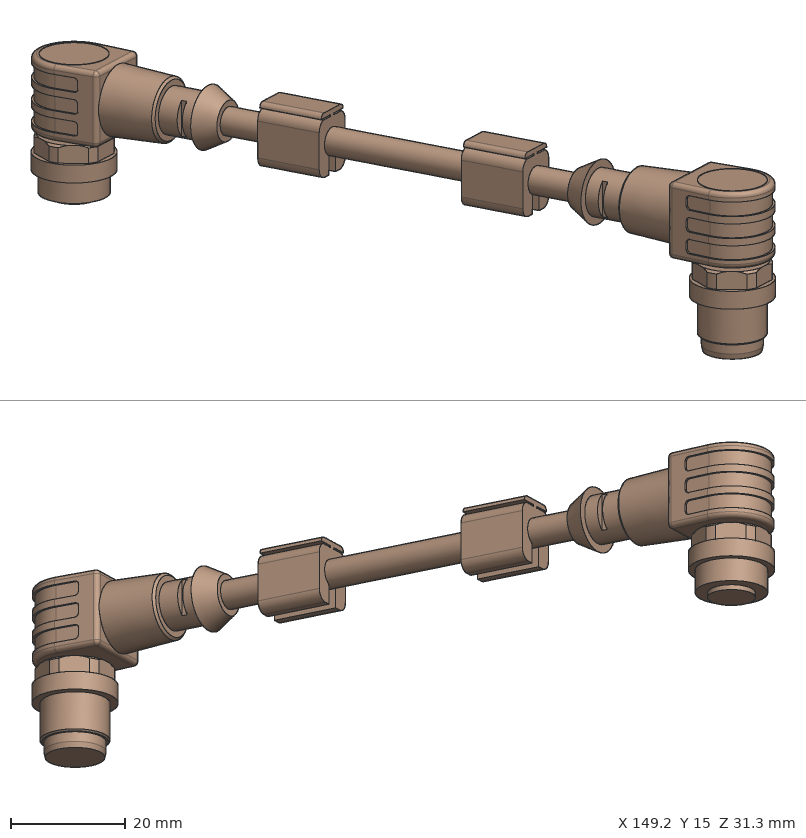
import cadquery as cq
import math

TOTAL_LENGTH = 149.2
CABLE_DIAMETER = 5.2

NUT_RING_DIAMETER = 15.0
HEX_ACROSS_FLATS = 13.0
HEX_CORNER_DIAMETER = 14.0
HEX_CORNER_CHAMFER = 0.5
STEM_DIAMETER = 8.8
HEX_TOP_Z = -7.8
RING_TOP_Z = -11.0
RING_BOTTOM_Z = -14.3

FEMALE_BODY_DIAMETER = 12.7
FEMALE_BODY_BOTTOM_Z = -18.5
FEMALE_INSERT_DIAMETER = 8.4
FEMALE_INSERT_BOTTOM_Z = -19.4

MALE_BODY_DIAMETER = 12.2
MALE_BODY_BOTTOM_Z = -21.5
MALE_BODY_CHAMFER = 0.3
MALE_TIP_DIAMETER = 10.9
MALE_TIP_END_DIAMETER = 10.5
MALE_TIP_TAPER_Z = -23.3
MALE_TIP_BOTTOM_Z = -24.3

HEAD_HEIGHT = 14.0
HEAD_RADIUS = 7.5
HEAD_BACK_HALF_WIDTH = 7.0
HEAD_BACK_X = 9.0
HEAD_EDGE_RADIUS = 0.9
LABEL_DIAMETER = 12.2
LABEL_DEPTH = 0.07
GROOVE_COUNT = 3
GROOVE_PITCH = 4.0
GROOVE_HEIGHT = 2.7
GROOVE_DEPTH = 0.5
GROOVE_END_X = 5.0
GROOVE_END_RADIUS = 0.7

SLEEVE_START_DIAMETER = 13.1
SLEEVE_END_DIAMETER = 12.0
SLEEVE_END_X = 19.8
SLEEVE_EDGE_CHAMFER = 0.5
NECK_DIAMETER = 8.8
NECK_END_X = 27.3
FLANGE_DIAMETER = 11.8
FLANGE_END_DIAMETER = 7.5
FLANGE_END_X = 31.3
NOTCH_X = 24.2
NOTCH_WIDTH = 1.0
NOTCH_DEPTH = 1.5

CLIP_CENTER_X = 20.7
CLIP_LENGTH = 12.5
CLIP_HALF_WIDTH = 4.4
CLIP_HALF_HEIGHT = 6.0
CLIP_LID_FLAT_HALF_WIDTH = 2.76
CLIP_LID_EDGE_RADIUS = 0.97
CLIP_LID_GAP = 0.3
CLIP_LID_WEB_HALF_WIDTH = 0.6
CLIP_SHOULDER_RADIUS = 2.1
CLIP_SHOULDER_Z = 2.76
CLIP_BOTTOM_RADIUS = 2.0
CLIP_SLOT_WIDTH = 2.2

PLUG_AXIS_X = (TOTAL_LENGTH - NUT_RING_DIAMETER) / 2


def cylinder_z(diameter, top_z, bottom_z):
    return cq.Workplane("XY").workplane(offset=bottom_z).circle(diameter / 2).extrude(top_z - bottom_z)


def cone_x(start_diameter, end_diameter, start_x, end_x):
    profile = [(start_x, 0), (start_x, start_diameter / 2), (end_x, end_diameter / 2), (end_x, 0)]
    return cq.Workplane("XY").polyline(profile).close().revolve(360, (0, 0, 0), (1, 0, 0))


def head_outline(inset=0.0):
    """Plan outline: an arc around the plug axis whose tangents run to the narrower back edge."""
    radius = HEAD_RADIUS - inset
    back_half_width = HEAD_BACK_HALF_WIDTH - inset
    back_distance = math.hypot(HEAD_BACK_X, back_half_width)
    tangent_angle = math.atan2(back_half_width, HEAD_BACK_X) + math.acos(radius / back_distance)
    tangent_x = radius * math.cos(tangent_angle)
    tangent_y = radius * math.sin(tangent_angle)
    return (
        cq.Workplane("XY")
        .workplane(offset=-HEAD_HEIGHT / 2)
        .moveTo(HEAD_BACK_X, -back_half_width)
        .lineTo(HEAD_BACK_X, back_half_width)
        .lineTo(tangent_x, tangent_y)
        .threePointArc((-radius, 0), (tangent_x, -tangent_y))
        .close()
    )


def grip_grooves():
    """Shallow bands around the round end, with rounded ends on both flat sides."""
    core = head_outline(GROOVE_DEPTH).extrude(HEAD_HEIGHT)
    shell = head_outline().extrude(HEAD_HEIGHT).cut(core)
    band_length = 4 * HEAD_RADIUS
    bands = (
        cq.Workplane("XZ")
        .center(GROOVE_END_X - band_length / 2, 0)
        .rarray(1.5, GROOVE_PITCH, 1, GROOVE_COUNT)
        .rect(band_length, GROOVE_HEIGHT)
        .extrude(2 * HEAD_RADIUS, both=True)
        .edges("|Y and >X")
        .fillet(GROOVE_END_RADIUS)
    )
    return shell.intersect(bands)


def head():
    body = head_outline().extrude(HEAD_HEIGHT)
    body = body.edges("|Z and >X").fillet(HEAD_EDGE_RADIUS)
    body = body.faces("<Z or >Z").edges().fillet(HEAD_EDGE_RADIUS)
    label = cylinder_z(LABEL_DIAMETER, HEAD_HEIGHT / 2, HEAD_HEIGHT / 2 - LABEL_DEPTH)
    return body.cut(grip_grooves()).cut(label)


def strain_relief():
    sleeve = cone_x(SLEEVE_START_DIAMETER, SLEEVE_END_DIAMETER, HEAD_BACK_X - HEAD_EDGE_RADIUS, SLEEVE_END_X)
    sleeve = sleeve.faces(">X").edges().chamfer(SLEEVE_EDGE_CHAMFER)
    neck = cone_x(NECK_DIAMETER, NECK_DIAMETER, 0, NECK_END_X)
    notch_offset = NECK_DIAMETER - NOTCH_DEPTH
    notches = (
        cq.Workplane("XY")
        .pushPoints([(NOTCH_X, notch_offset), (NOTCH_X, -notch_offset)])
        .rect(NOTCH_WIDTH, NECK_DIAMETER)
        .extrude(NECK_DIAMETER, both=True)
    )
    flange = cone_x(FLANGE_DIAMETER, FLANGE_END_DIAMETER, NECK_END_X, FLANGE_END_X)
    return neck.cut(notches).union(sleeve).union(flange)


def coupling_nut():
    hex_diameter = HEX_ACROSS_FLATS / math.cos(math.pi / 6)
    hex_height = HEX_TOP_Z - RING_TOP_Z
    corners = cylinder_z(HEX_CORNER_DIAMETER, HEX_TOP_Z, RING_TOP_Z)
    corners = corners.faces(">Z").edges().chamfer(HEX_CORNER_CHAMFER)
    hexagon = (
        cq.Workplane("XY")
        .workplane(offset=RING_TOP_Z)
        .transformed(rotate=(0, 0, 30))
        .polygon(6, hex_diameter)
        .extrude(hex_height)
        .intersect(corners)
    )
    stem = cylinder_z(STEM_DIAMETER, 0, RING_TOP_Z)
    ring = cylinder_z(NUT_RING_DIAMETER, RING_TOP_Z, RING_BOTTOM_Z)
    return stem.union(hexagon).union(ring)


def female_plug():
    body = cylinder_z(FEMALE_BODY_DIAMETER, RING_BOTTOM_Z, FEMALE_BODY_BOTTOM_Z)
    insert = cylinder_z(FEMALE_INSERT_DIAMETER, FEMALE_BODY_BOTTOM_Z, FEMALE_INSERT_BOTTOM_Z)
    return body.union(insert)


def male_plug():
    body = cylinder_z(MALE_BODY_DIAMETER, RING_BOTTOM_Z, MALE_BODY_BOTTOM_Z)
    body = body.faces("<Z").edges().chamfer(MALE_BODY_CHAMFER)
    tip_profile = [
        (0, MALE_BODY_BOTTOM_Z),
        (MALE_TIP_DIAMETER / 2, MALE_BODY_BOTTOM_Z),
        (MALE_TIP_DIAMETER / 2, MALE_TIP_TAPER_Z),
        (MALE_TIP_END_DIAMETER / 2, MALE_TIP_BOTTOM_Z),
        (0, MALE_TIP_BOTTOM_Z),
    ]
    tip = cq.Workplane("XZ").polyline(tip_profile).close().revolve(360, (0, 0, 0), (0, 1, 0))
    return body.union(tip)


def connector(plug):
    """Angled plug with its plug axis on Z and its cable leaving along +X."""
    return head().union(strain_relief()).union(coupling_nut()).union(plug)


def label_clip(center_x):
    """Carrier block with a lid on a thin web, rounded shoulders and lower edges, and a slot in the bottom
    that opens to the cable."""
    lid_bottom_z = CLIP_HALF_HEIGHT - CLIP_LID_EDGE_RADIUS
    lid_half_width = CLIP_LID_FLAT_HALF_WIDTH + CLIP_LID_EDGE_RADIUS
    gap_floor_z = lid_bottom_z - CLIP_LID_GAP
    shoulder_run = math.sqrt(CLIP_SHOULDER_RADIUS**2 - (gap_floor_z - CLIP_SHOULDER_Z) ** 2)
    shoulder_top_y = CLIP_HALF_WIDTH - CLIP_SHOULDER_RADIUS + shoulder_run
    half = (
        cq.Workplane("YZ")
        .workplane(offset=center_x - CLIP_LENGTH / 2)
        .moveTo(0, CLIP_HALF_HEIGHT)
        .lineTo(CLIP_LID_FLAT_HALF_WIDTH, CLIP_HALF_HEIGHT)
        .radiusArc((lid_half_width, lid_bottom_z), CLIP_LID_EDGE_RADIUS)
        .lineTo(CLIP_LID_WEB_HALF_WIDTH, lid_bottom_z)
        .lineTo(CLIP_LID_WEB_HALF_WIDTH, gap_floor_z)
        .lineTo(shoulder_top_y, gap_floor_z)
        .radiusArc((CLIP_HALF_WIDTH, CLIP_SHOULDER_Z), CLIP_SHOULDER_RADIUS)
        .lineTo(CLIP_HALF_WIDTH, CLIP_BOTTOM_RADIUS - CLIP_HALF_HEIGHT)
        .radiusArc((CLIP_HALF_WIDTH - CLIP_BOTTOM_RADIUS, -CLIP_HALF_HEIGHT), CLIP_BOTTOM_RADIUS)
        .lineTo(CLIP_SLOT_WIDTH / 2, -CLIP_HALF_HEIGHT)
        .lineTo(CLIP_SLOT_WIDTH / 2, 0)
        .lineTo(0, 0)
        .close()
        .extrude(CLIP_LENGTH)
    )
    return half.union(half.mirror("XZ"))


female_end = connector(female_plug()).translate((-PLUG_AXIS_X, 0, 0))
male_end = connector(male_plug()).mirror("YZ").translate((PLUG_AXIS_X, 0, 0))
cable = cone_x(CABLE_DIAMETER, CABLE_DIAMETER, -PLUG_AXIS_X, PLUG_AXIS_X)

result = cable.union(female_end).union(male_end)
for side in (-1, 1):
    result = result.union(label_clip(side * CLIP_CENTER_X))